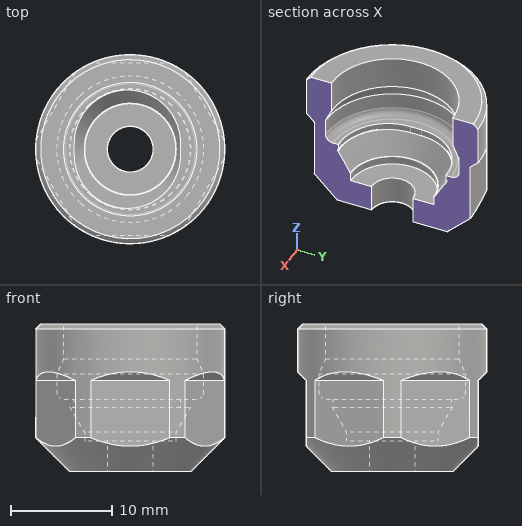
import cadquery as cq
import math

body_diameter = 18.7
body_height = 14.6
top_chamfer = 0.5
nose_height = 3.35

across_flats = 17.0
flat_top_z = 9.0
flat_count = 6

bore_diameter = 13.19
bore_depth = 3.5
relief_diameter = 14.5
relief_start_depth = 4.95
relief_depth = 7.5
relief_fillet = 0.8

slot_width = 10.5
slot_length = 11.7
slot_offset_x = -0.28
web_thickness = 0.75

cone_top_diameter = 11.9
cone_half_angle = 30.0
cone_bottom_diameter = 9.1
pocket_diameter = 9.0
pocket_floor_z = 3.0
hole_diameter = 4.5

body_radius = body_diameter / 2
relief_floor_z = body_height - relief_depth
web_bottom_z = relief_floor_z - web_thickness
cone_drop = (cone_top_diameter - cone_bottom_diameter) / 2 / math.tan(math.radians(cone_half_angle))
cone_bottom_z = web_bottom_z - cone_drop


def revolve_profile(points):
    """Revolve an (r, z) outline around the Z axis."""
    return cq.Workplane("XZ").polyline(points).close().revolve(360, (0, 0, 0), (0, 1, 0))


def make_body():
    return revolve_profile([
        (0, 0),
        (body_radius - nose_height, 0),
        (body_radius, nose_height),
        (body_radius, body_height - top_chamfer),
        (body_radius - top_chamfer, body_height),
        (0, body_height),
    ])


def make_flat_cutter():
    """Material outside one flat, on the +X side, with a 45 degree run-out above."""
    flat_distance = across_flats / 2
    reach = body_diameter - flat_distance
    return (
        cq.Workplane("XZ")
        .polyline([
            (flat_distance, 0),
            (body_diameter, 0),
            (body_diameter, flat_top_z + reach),
            (flat_distance, flat_top_z),
        ])
        .close()
        .extrude(body_radius, both=True)
    )


def cut_hexagon(part):
    cutter = make_flat_cutter()
    step = 360 / flat_count
    for index in range(flat_count):
        part = part.cut(cutter.rotate((0, 0, 0), (0, 0, 1), step * (index + 0.5)))
    return part


def make_bore():
    """Bore, widening cone and groove with a rounded floor corner."""
    bore_radius = bore_diameter / 2
    relief_radius = relief_diameter / 2
    return (
        cq.Workplane("XZ")
        .moveTo(0, body_height)
        .lineTo(bore_radius, body_height)
        .lineTo(bore_radius, body_height - bore_depth)
        .lineTo(relief_radius, body_height - relief_start_depth)
        .lineTo(relief_radius, relief_floor_z + relief_fillet)
        .radiusArc((relief_radius - relief_fillet, relief_floor_z), relief_fillet)
        .lineTo(0, relief_floor_z)
        .close()
        .revolve(360, (0, 0, 0), (0, 1, 0))
    )


def make_slot():
    """Slot with vertical walls, off-centre in X."""
    web_bottom = cq.Workplane("XY", origin=(slot_offset_x, 0, web_bottom_z))
    return web_bottom.slot2D(slot_length, slot_width, 90).extrude(web_thickness)


def make_cone():
    """Conical chamber that narrows from the web to the pocket."""
    return revolve_profile([
        (0, cone_bottom_z),
        (cone_bottom_diameter / 2, cone_bottom_z),
        (cone_top_diameter / 2, web_bottom_z),
        (0, web_bottom_z),
    ])


def make_pocket():
    pocket_height = cone_bottom_z - pocket_floor_z
    floor = cq.Workplane("XY", origin=(0, 0, pocket_floor_z))
    return floor.circle(pocket_diameter / 2).extrude(pocket_height)


def make_hole():
    return cq.Workplane("XY").circle(hole_diameter / 2).extrude(pocket_floor_z)


result = cut_hexagon(make_body())
for cavity in (make_bore(), make_slot(), make_cone(), make_pocket(), make_hole()):
    result = result.cut(cavity)